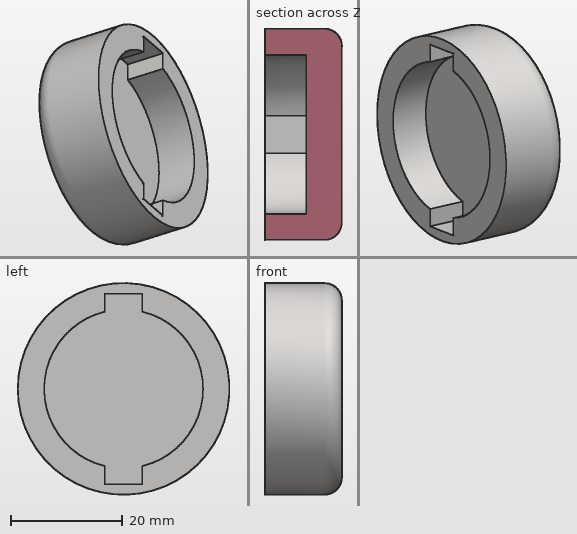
import cadquery as cq

outer_diameter = 38.1
cap_length = 13.85
rim_fillet = 3.2

bore_diameter = 28.58
recess_depth = 7.4
slot_width = 6.8
slot_span = 34.3


def make_body():
    """Solid disc with its closed +X rim rounded."""
    disc = cq.Workplane("YZ").circle(outer_diameter / 2).extrude(cap_length)
    return disc.faces(">X").edges().fillet(rim_fillet)


def make_recess():
    """Bore joined with a vertical bar that forms both slots."""
    bore = cq.Workplane("YZ").circle(bore_diameter / 2).extrude(recess_depth)
    slots = cq.Workplane("YZ").rect(slot_width, slot_span).extrude(recess_depth)
    return bore.union(slots)


result = make_body().cut(make_recess())